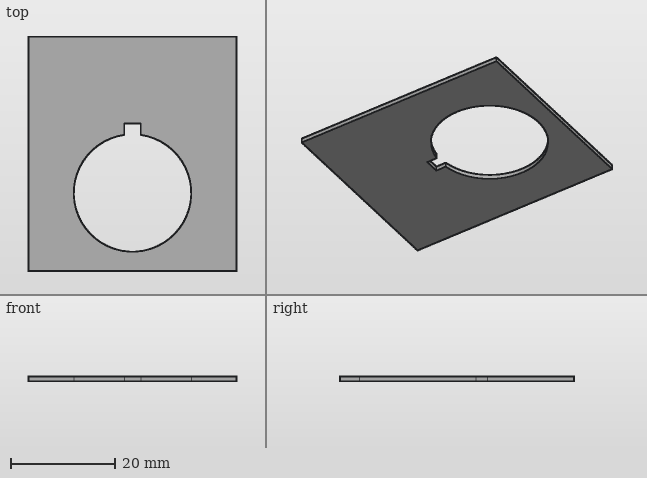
import cadquery as cq

plate_width = 40.0
plate_length = 45.0
plate_thickness = 1.0

hole_diameter = 22.5
hole_from_front_edge = 15.0

notch_width = 3.1
notch_reach = 13.3


def make_plate():
    """Flat rectangular plate with its front edge on Y = 0 and underside on Z = 0."""
    return cq.Workplane("XY").box(
        plate_width, plate_length, plate_thickness, centered=(True, False, False)
    )


def make_keyed_opening():
    """Round hole joined with the rectangular notch, through the full thickness."""
    center_plane = cq.Workplane("XY").center(0, hole_from_front_edge)
    hole = center_plane.circle(hole_diameter / 2).extrude(plate_thickness)
    notch = center_plane.rect(notch_width, notch_reach, centered=(True, False)).extrude(plate_thickness)
    return hole.union(notch)


result = make_plate().cut(make_keyed_opening())